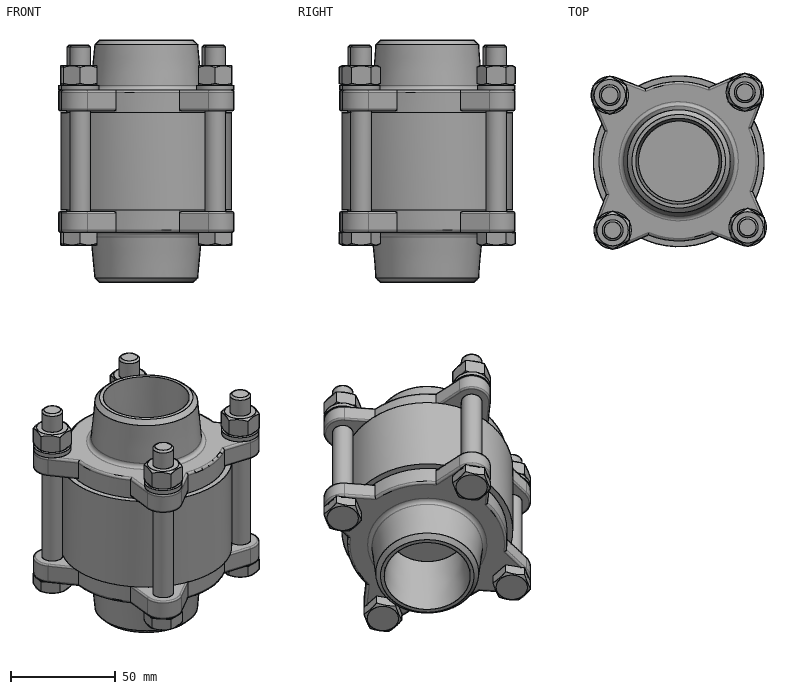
import cadquery as cq
import math

LENGTH = 116.1
MID_Z = LENGTH / 2
FLANGE_OUTER_Z = 92.2
FLANGE_INNER_Z = 82.2
BODY_TOP_Z = 81.4
BODY_DIA = 82.0

DISC_DIA = 76.4
OUTER_FILLET = 1.2
INNER_FILLET = 0.8
LOBE_RADIUS = 9.0
LOBE_ROOT_HALF_ANGLE = 21.5
BOLT_CIRCLE_RADIUS = 45.8
BOLT_COUNT = 4
BOLT_PITCH = 360 / BOLT_COUNT
FIRST_BOLT_ANGLE = 46.2

NECK_TIP_DIA = 49.4
NECK_ROOT_DIA = 53.0
NECK_LIP_DIA = 44.8
NECK_CHAMFER = 2.2
NECK_FILLET = 2.1
BORE_MOUTH_DIA = 41.2
BORE_FLOOR_DIA = 38.5

ROD_DIA = 10.0
ROD_TIP_DIA = 8.0
ROD_TOP_Z = 113.7
WASHER_DIA = 17.9
WASHER_TOP_Z = 94.4
HEX_ACROSS_FLATS = 16.0
HEX_ACROSS_CORNERS = HEX_ACROSS_FLATS / math.cos(math.radians(30))
HEX_FACE_DIA = 15.0
HEX_CHAMFER_ANGLE = 30.0
NUT_HEIGHT = 9.6
HEAD_HEIGHT = 6.3


def polar(radius, degrees):
    angle = math.radians(degrees)
    return radius * math.cos(angle), radius * math.sin(angle)


def flange_outline(bottom_z):
    """Disc outline with straight-sided lobes whose sides run tangent to the lobe ends."""
    disc_radius = DISC_DIA / 2
    root_x, root_y = polar(disc_radius, LOBE_ROOT_HALF_ANGLE)
    to_root = math.degrees(math.atan2(root_y, root_x - BOLT_CIRCLE_RADIUS))
    root_distance = math.hypot(root_x - BOLT_CIRCLE_RADIUS, root_y)
    tangent_direction = to_root - math.degrees(math.acos(LOBE_RADIUS / root_distance))
    offset_x, tangent_y = polar(LOBE_RADIUS, tangent_direction)
    tangent_x = BOLT_CIRCLE_RADIUS + offset_x
    tangent_radius = math.hypot(tangent_x, tangent_y)
    tangent_angle = math.degrees(math.atan2(tangent_y, tangent_x))

    outline = cq.Workplane("XY").workplane(offset=bottom_z)
    outline = outline.moveTo(*polar(disc_radius, FIRST_BOLT_ANGLE - LOBE_ROOT_HALF_ANGLE))
    for i in range(BOLT_COUNT):
        axis = FIRST_BOLT_ANGLE + i * BOLT_PITCH
        outline = (
            outline.lineTo(*polar(tangent_radius, axis - tangent_angle))
            .threePointArc(
                polar(BOLT_CIRCLE_RADIUS + LOBE_RADIUS, axis),
                polar(tangent_radius, axis + tangent_angle),
            )
            .lineTo(*polar(disc_radius, axis + LOBE_ROOT_HALF_ANGLE))
            .threePointArc(
                polar(disc_radius, axis + BOLT_PITCH / 2),
                polar(disc_radius, axis + BOLT_PITCH - LOBE_ROOT_HALF_ANGLE),
            )
        )
    return outline.close()


def upper_flange():
    plate_depth = FLANGE_OUTER_Z - BODY_TOP_Z
    plate = flange_outline(BODY_TOP_Z).extrude(plate_depth)
    plate = plate.faces(">Z").edges().fillet(OUTER_FILLET)
    lobes = flange_outline(FLANGE_INNER_Z).extrude(plate_depth)
    lobes = lobes.faces("<Z").edges().fillet(INNER_FILLET)
    surroundings = cq.Workplane("XY").workplane(offset=BODY_TOP_Z).circle(LENGTH).circle(DISC_DIA / 2)
    outside_disc = surroundings.extrude(plate_depth)
    return plate.cut(outside_disc.cut(lobes))


def upper_neck():
    """Tapered pipe end with a bevelled lip and a filleted root."""
    root_radius = NECK_ROOT_DIA / 2
    fillet_mid = NECK_FILLET * (1 - math.sqrt(0.5))
    profile = (
        cq.Workplane("XZ")
        .moveTo(0, BODY_TOP_Z)
        .lineTo(root_radius + NECK_FILLET, BODY_TOP_Z)
        .lineTo(root_radius + NECK_FILLET, FLANGE_OUTER_Z)
        .threePointArc(
            (root_radius + fillet_mid, FLANGE_OUTER_Z + fillet_mid),
            (root_radius, FLANGE_OUTER_Z + NECK_FILLET),
        )
        .lineTo(NECK_TIP_DIA / 2, LENGTH - NECK_CHAMFER)
        .lineTo(NECK_LIP_DIA / 2, LENGTH)
        .lineTo(0, LENGTH)
        .close()
    )
    return profile.revolve(360, (0, 0, 0), (0, 1, 0))


def upper_bore():
    """Blind bore, slightly narrower at its flat floor level with the body face."""
    return (
        cq.Workplane("XY")
        .workplane(offset=BODY_TOP_Z)
        .circle(BORE_FLOOR_DIA / 2)
        .workplane(offset=LENGTH - BODY_TOP_Z)
        .circle(BORE_MOUTH_DIA / 2)
        .loft()
    )


def hexagon(bottom_z, height, bevel_bottom, bevel_top):
    """Hexagonal prism, corners along Y, with conically bevelled ends."""
    corner_radius = HEX_ACROSS_CORNERS / 2
    face_radius = HEX_FACE_DIA / 2
    drop = (corner_radius - face_radius) * math.tan(math.radians(HEX_CHAMFER_ANGLE))
    top_z = bottom_z + height
    envelope_points = [(0, bottom_z)]
    if bevel_bottom:
        envelope_points += [(face_radius, bottom_z), (corner_radius, bottom_z + drop)]
    else:
        envelope_points += [(corner_radius, bottom_z)]
    if bevel_top:
        envelope_points += [(corner_radius, top_z - drop), (face_radius, top_z)]
    else:
        envelope_points += [(corner_radius, top_z)]
    envelope_points += [(0, top_z)]
    envelope = cq.Workplane("XZ").polyline(envelope_points).close().revolve(360, (0, 0, 0), (0, 1, 0))
    prism = (
        cq.Workplane("XY")
        .workplane(offset=bottom_z)
        .polygon(6, HEX_ACROSS_CORNERS)
        .extrude(height)
        .rotate((0, 0, 0), (0, 0, 1), 30)
    )
    return prism.intersect(envelope)


def bolt_assembly():
    """Bolt along Z through the origin, with its head, washer and nut."""
    head_top_z = LENGTH - FLANGE_OUTER_Z
    head_bottom_z = head_top_z - HEAD_HEIGHT
    rod = (
        cq.Workplane("XY")
        .workplane(offset=head_top_z)
        .circle(ROD_DIA / 2)
        .extrude(ROD_TOP_Z - head_top_z)
        .faces(">Z")
        .chamfer((ROD_DIA - ROD_TIP_DIA) / 2)
    )
    washer = (
        cq.Workplane("XY")
        .workplane(offset=FLANGE_OUTER_Z)
        .circle(WASHER_DIA / 2)
        .extrude(WASHER_TOP_Z - FLANGE_OUTER_Z)
    )
    head = hexagon(head_bottom_z, HEAD_HEIGHT, bevel_bottom=True, bevel_top=False)
    nut = hexagon(WASHER_TOP_Z, NUT_HEIGHT, bevel_bottom=True, bevel_top=True)
    return rod.union(washer).union(head).union(nut)


body = cq.Workplane("XY").workplane(offset=LENGTH - BODY_TOP_Z).circle(BODY_DIA / 2)
body = body.extrude(2 * BODY_TOP_Z - LENGTH)

upper_end = upper_flange().union(upper_neck()).cut(upper_bore())
lower_end = upper_end.mirror("XY", (0, 0, MID_Z))
result = body.union(upper_end).union(lower_end)

bolt = bolt_assembly()
for i in range(BOLT_COUNT):
    bolt_x, bolt_y = polar(BOLT_CIRCLE_RADIUS, FIRST_BOLT_ANGLE + i * BOLT_PITCH)
    result = result.union(bolt.translate((bolt_x, bolt_y, 0)))